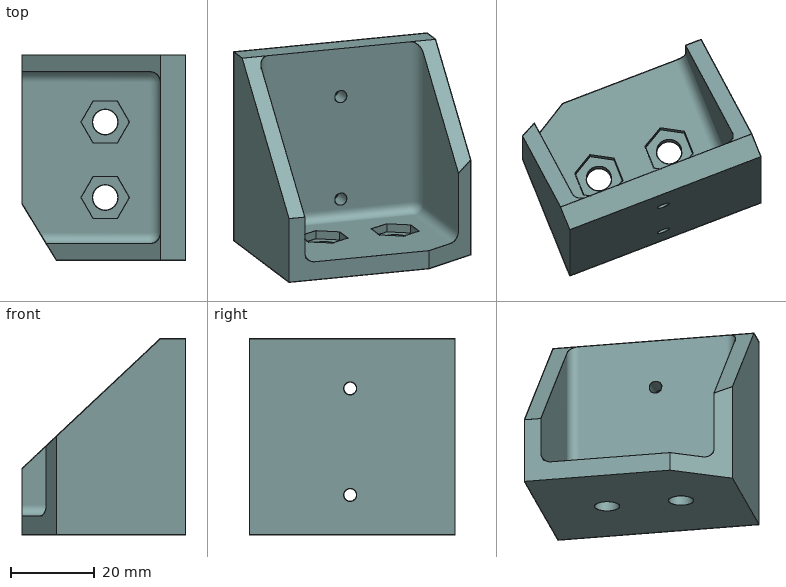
import cadquery as cq
import math

length = 39.0
width = 49.0
height = 46.8

back_wall = 6.0
side_wall = 4.0
floor = 4.5
inner_radius = 2.5

open_end_height = 15.8
corner_cut_x = 8.2
corner_cut_y = 13.5

hole_line_y = 24.0

bolt_diameter = 6.0
bolt_spacing = 18.0
bolt_x = 19.85
nut_across_flats = 10.0
nut_sides = 6
nut_depth = 2.0

screw_diameter = 3.0
screw_spacing = 25.4
lower_screw_z = 9.5

back_wall_x = length - back_wall
nut_across_corners = nut_across_flats / math.cos(math.pi / nut_sides)


def make_body():
    """Side profile with the sloping edge, extruded across the full width."""
    return (
        cq.Workplane("XZ")
        .polyline([
            (0, 0),
            (length, 0),
            (length, height),
            (back_wall_x, height),
            (0, open_end_height),
        ])
        .close()
        .extrude(-width)
    )


def make_cavity():
    """Space between the walls, open at the front and top, with rounded inner corners."""
    return (
        cq.Workplane("XY")
        .box(2 * back_wall_x, width - 2 * side_wall, 2 * height, centered=False)
        .translate((-back_wall_x, side_wall, floor))
        .edges("(>X and |Z) or (<Z and |X) or (<Z and >X)")
        .fillet(inner_radius)
    )


def make_corner_cut():
    """Triangular prism that removes the front corner over the full height."""
    return (
        cq.Workplane("XY")
        .polyline([(0, 0), (corner_cut_x, 0), (0, corner_cut_y)])
        .close()
        .extrude(height)
    )


def make_bolt_hole(y):
    """Through hole in the floor with a nut recess whose corners point along X."""
    hole = cq.Workplane("XY").center(bolt_x, y).circle(bolt_diameter / 2).extrude(floor)
    nut_recess = (
        cq.Workplane("XY", origin=(bolt_x, y, floor - nut_depth))
        .polygon(nut_sides, nut_across_corners)
        .extrude(nut_depth)
    )
    return hole.union(nut_recess)


def make_screw_hole(z):
    """Through hole in the back wall, along X."""
    return (
        cq.Workplane("YZ", origin=(back_wall_x, hole_line_y, z))
        .circle(screw_diameter / 2)
        .extrude(back_wall)
    )


result = make_body().cut(make_cavity()).cut(make_corner_cut())

for side in (-1, 1):
    result = result.cut(make_bolt_hole(hole_line_y + side * bolt_spacing / 2))

for screw_z in (lower_screw_z, lower_screw_z + screw_spacing):
    result = result.cut(make_screw_hole(screw_z))